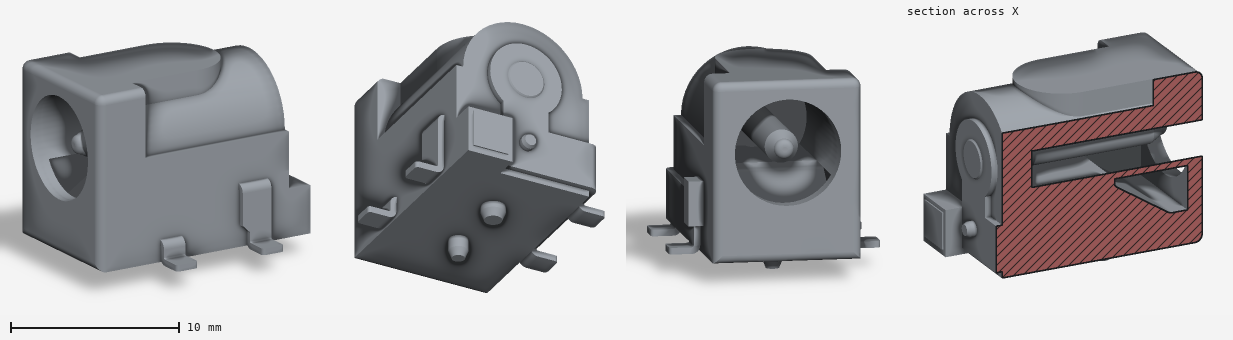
import cadquery as cq
import math

HOUSING_WIDTH = 8.9
HOUSING_HEIGHT = 10.9
HOUSING_LENGTH = 13.25
FRONT_BLOCK_LENGTH = 3.25
EDGE_RADIUS = 0.5
HALF_WIDTH = HOUSING_WIDTH / 2

AXIS_HEIGHT = 6.6
BARREL_RADIUS = 4.0
TONGUE_RADIUS = 2.9
TONGUE_REAR = 10.75

BORE_DIAMETER = 6.4
BORE_DEPTH = 11.25
BORE_RADIUS = BORE_DIAMETER / 2
RING_LENGTH = 1.0
SHELF_HEIGHT = AXIS_HEIGHT - 1.6
POCKET_FLOOR = 2.2
POCKET_REAR = 5.77
RAMP_TOP = 4.55
RAMP_ANGLE = 33
RAMP_FOOT_RADIUS = 0.6
RAMP_TOP_RADIUS = 0.2

PIN_DIAMETER = 2.0
PIN_NECK_DIAMETER = 1.2
PIN_TIP_DIAMETER = 0.35
PIN_TIP_Y = 1.0
PIN_NECK_Y = 1.4
PIN_SHOULDER_Y = 2.2
PIN_BASE_DIAMETER = 3.25
PIN_BASE_HEIGHT = 0.5

SHEET = 0.4
SHEET_GAP = 0.05
BEND_INNER_RADIUS = 0.1
BEND_OUTER_RADIUS = BEND_INNER_RADIUS + SHEET
SHEET_INNER_X = HALF_WIDTH + SHEET_GAP
SHEET_OUTER_X = SHEET_INNER_X + SHEET
LEAD_REACH = 6.35
LEAD_WIDTH = 1.5
LEAD_BOTTOM = -0.1
LEAD_CORNER_RADIUS = 0.2
FRONT_LEAD_Y = 5.0
REAR_LEAD_Y = 11.0

STRAP_BOTTOM = 0.4
STRAP_TOP = 3.4
STRAP_FRONT = 4.15
REAR_PLATE_Y = HOUSING_LENGTH + SHEET
REAR_DISC_RADIUS = 2.4
REAR_STEM_WIDTH = 3.0

SHORT_TAB_TOP = 1.4
TALL_TAB_TOP = 3.95
TALL_TAB_BOTTOM = 1.4
TALL_TAB_NOTCH_CHAMFER = 0.45
TALL_TAB_FRONT = 9.75
LEG_TOP = SHORT_TAB_TOP / 2

SIDE_BLOCK_WIDTH = 0.9
SIDE_BLOCK_FRONT = 3.5
SIDE_BLOCK_LENGTH = 1.5
SIDE_BLOCK_BOTTOM = 1.7
SIDE_BLOCK_HEIGHT = 2.7

RIVET_DIAMETER = 2.45
RIVET_HEIGHT = 0.1
RIVET_FLANK_ANGLE = 45
STUD_DIAMETER = 0.95
STUD_CENTER_Z = 2.18
STUD_END_Y = 14.25
STUD_TIP_LENGTH = 0.25
STUD_TIP_ANGLE = 25
REAR_BLOCK_WIDTH = 2.95
REAR_BLOCK_HEIGHT = 3.0
REAR_BLOCK_END_Y = 14.75
REAR_PAD_SIZE = 2.35
REAR_PAD_HEIGHT = 0.1
REAR_PAD_BOTTOM = 0.4

FRONT_PEG_Y = 5.1
FRONT_PEG_DIAMETER = 1.2
FRONT_PEG_TIP_DIAMETER = 0.8
FRONT_PEG_TAPER_START = 0.75
FRONT_PEG_LENGTH = 1.25
REAR_PEG_Y = 9.5
REAR_PEG_DIAMETER = 1.5
REAR_PEG_TIP_DIAMETER = 1.1
REAR_PEG_TAPER_START = 0.4
REAR_PEG_LENGTH = 0.9


def box(x0, x1, y0, y1, z0, z1):
    """Box between two opposite corners."""
    return cq.Workplane("XY").box(x1 - x0, y1 - y0, z1 - z0, centered=False).translate((x0, y0, z0))


def cylinder_y(diameter, y0, y1, z=AXIS_HEIGHT, taper=0):
    """Round bar along Y from y0 to y1 at X = 0, narrowing by the taper angle in degrees."""
    plane = cq.Plane(origin=(0, y0, z), xDir=(1, 0, 0), normal=(0, 1, 0))
    return cq.Workplane(plane).circle(diameter / 2).extrude(y1 - y0, taper=taper)


def housing():
    """Front block with rounded edges, half-round barrel and the raised tongue on top of it."""
    block = box(-HALF_WIDTH, HALF_WIDTH, 0, FRONT_BLOCK_LENGTH, 0, HOUSING_HEIGHT)
    block = block.edges("(|Y and >Z) or (<Y)").fillet(EDGE_RADIUS)
    base = box(-HALF_WIDTH, HALF_WIDTH, FRONT_BLOCK_LENGTH, HOUSING_LENGTH, 0, AXIS_HEIGHT)
    barrel = cylinder_y(2 * BARREL_RADIUS, FRONT_BLOCK_LENGTH, HOUSING_LENGTH)
    arc_start = TONGUE_REAR - TONGUE_RADIUS
    tongue = (
        cq.Workplane("XY", origin=(0, 0, AXIS_HEIGHT))
        .moveTo(-TONGUE_RADIUS, FRONT_BLOCK_LENGTH)
        .lineTo(TONGUE_RADIUS, FRONT_BLOCK_LENGTH)
        .lineTo(TONGUE_RADIUS, arc_start)
        .threePointArc((0, TONGUE_REAR), (-TONGUE_RADIUS, arc_start))
        .close()
        .extrude(HOUSING_HEIGHT - AXIS_HEIGHT)
    )
    return block.union(base).union(barrel).union(tongue)


def socket():
    """Space removed for the plug: a round mouth, a flat-bottomed bore and a ramped pocket."""
    mouth = cylinder_y(BORE_DIAMETER, 0, RING_LENGTH)
    bore = cylinder_y(BORE_DIAMETER, RING_LENGTH, BORE_DEPTH).intersect(
        box(-BORE_RADIUS, BORE_RADIUS, RING_LENGTH, BORE_DEPTH, SHELF_HEIGHT, HOUSING_HEIGHT)
    )
    ramp_rise = RAMP_TOP - POCKET_FLOOR
    ramp_front = POCKET_REAR - ramp_rise / math.tan(math.radians(RAMP_ANGLE))
    pocket = (
        cq.Workplane("YZ", origin=(-BORE_RADIUS, 0, 0))
        .moveTo(RING_LENGTH, POCKET_FLOOR)
        .lineTo(ramp_front, POCKET_FLOOR)
        .lineTo(POCKET_REAR, RAMP_TOP)
        .lineTo(POCKET_REAR, SHELF_HEIGHT)
        .lineTo(RING_LENGTH, SHELF_HEIGHT)
        .close()
        .extrude(BORE_DIAMETER)
    )
    foot_edge = cq.selectors.NearestToPointSelector((0, ramp_front, POCKET_FLOOR))
    top_edge = cq.selectors.NearestToPointSelector((0, POCKET_REAR, RAMP_TOP))
    pocket = pocket.edges("|X").edges(foot_edge).fillet(RAMP_FOOT_RADIUS)
    pocket = pocket.edges("|X").edges(top_edge).fillet(RAMP_TOP_RADIUS)
    return mouth.union(bore).union(pocket)


def center_pin():
    """Contact pin with a domed tip and a conical shoulder, standing on a round base."""
    neck_radius = PIN_NECK_DIAMETER / 2
    tip_radius = PIN_TIP_DIAMETER / 2
    dome_mid = (
        tip_radius + (neck_radius - tip_radius) * math.sin(math.pi / 4),
        PIN_NECK_Y - (PIN_NECK_Y - PIN_TIP_Y) * math.sin(math.pi / 4),
    )
    base_front = BORE_DEPTH - PIN_BASE_HEIGHT
    return (
        cq.Workplane("XY", origin=(0, 0, AXIS_HEIGHT))
        .moveTo(0, PIN_TIP_Y)
        .lineTo(tip_radius, PIN_TIP_Y)
        .threePointArc(dome_mid, (neck_radius, PIN_NECK_Y))
        .lineTo(PIN_DIAMETER / 2, PIN_SHOULDER_Y)
        .lineTo(PIN_DIAMETER / 2, base_front)
        .lineTo(PIN_BASE_DIAMETER / 2, base_front)
        .lineTo(PIN_BASE_DIAMETER / 2, BORE_DEPTH)
        .lineTo(0, BORE_DEPTH)
        .close()
        .revolve(360, (0, 0, 0), (0, 1, 0))
    )


def lead(side, y_center, leg_top=LEG_TOP):
    """L-shaped lead: an upright leg beside the housing bent into a flat outward foot."""
    half_lead = LEAD_WIDTH / 2
    foot_top = LEAD_BOTTOM + SHEET
    leg = box(SHEET_INNER_X, SHEET_OUTER_X, -half_lead, half_lead, LEAD_BOTTOM, leg_top)
    foot = box(SHEET_INNER_X, LEAD_REACH, -half_lead, half_lead, LEAD_BOTTOM, foot_top)
    foot = foot.edges("|Z and >X").fillet(LEAD_CORNER_RADIUS)
    bent = leg.union(foot).edges("|Y and <X and <Z").fillet(BEND_OUTER_RADIUS)
    inner_corner = cq.selectors.NearestToPointSelector((SHEET_OUTER_X, 0, foot_top))
    bent = bent.edges("|Y").edges(inner_corner).fillet(BEND_INNER_RADIUS)
    if side < 0:
        bent = bent.mirror("YZ")
    return bent.translate((0, y_center, 0))


def folded_tab(y0, y1, bottom, top):
    """Upright tab on the +X side whose top folds into the housing wall."""
    tab = box(HALF_WIDTH - SHEET, SHEET_OUTER_X, y0, y1, top - SHEET, top)
    tab = tab.union(box(SHEET_INNER_X, SHEET_OUTER_X, y0, y1, bottom, top))
    return tab.edges("|Y and >X and >Z").fillet(BEND_OUTER_RADIUS)


def right_terminals():
    """Two leads on the +X side: a short front one and a rear one hung from a taller, wider tab."""
    half_lead = LEAD_WIDTH / 2
    rear_edge = REAR_LEAD_Y + half_lead
    short_tab = folded_tab(FRONT_LEAD_Y - half_lead, FRONT_LEAD_Y + half_lead, LEG_TOP, SHORT_TAB_TOP)
    tall_tab = folded_tab(TALL_TAB_FRONT, rear_edge, TALL_TAB_BOTTOM, TALL_TAB_TOP)
    front = lead(1, FRONT_LEAD_Y).union(short_tab)
    rear = lead(1, REAR_LEAD_Y, TALL_TAB_BOTTOM).union(tall_tab)
    notch_corner = (SHEET_OUTER_X - SHEET / 2, REAR_LEAD_Y - half_lead, TALL_TAB_BOTTOM)
    notch_edge = cq.selectors.NearestToPointSelector(notch_corner)
    rear = rear.edges("|X").edges(notch_edge).chamfer(TALL_TAB_NOTCH_CHAMFER)
    return front.union(rear)


def strap():
    """Strap along the -X side, bent around the rear corner, with its two leads and rear disc."""
    stem_half = REAR_STEM_WIDTH / 2
    outline = box(-SHEET_OUTER_X, stem_half, STRAP_FRONT, REAR_PLATE_Y, STRAP_BOTTOM, STRAP_TOP)
    outline = outline.edges("|Z and <X and >Y").fillet(BEND_OUTER_RADIUS)
    inside = box(-SHEET_INNER_X, stem_half, STRAP_FRONT, HOUSING_LENGTH, STRAP_BOTTOM, STRAP_TOP)
    inside = inside.edges("|Z and <X and >Y").fillet(BEND_INNER_RADIUS)
    stem = box(-stem_half, stem_half, HOUSING_LENGTH, REAR_PLATE_Y, STRAP_BOTTOM, AXIS_HEIGHT)
    disc = cylinder_y(2 * REAR_DISC_RADIUS, HOUSING_LENGTH, REAR_PLATE_Y)
    metal = outline.cut(inside).union(stem).union(disc)
    for y_center in (FRONT_LEAD_Y, REAR_LEAD_Y):
        metal = metal.union(lead(-1, y_center))
    return metal


def side_block():
    """Small block on the -X wall that overlaps the front end of the strap."""
    return box(
        -HALF_WIDTH - SIDE_BLOCK_WIDTH,
        -HALF_WIDTH,
        SIDE_BLOCK_FRONT,
        SIDE_BLOCK_FRONT + SIDE_BLOCK_LENGTH,
        SIDE_BLOCK_BOTTOM,
        SIDE_BLOCK_BOTTOM + SIDE_BLOCK_HEIGHT,
    )


def rear_details():
    """Rivet head, taper-ended stud and the raised block at the rear right corner."""
    rivet_end = REAR_PLATE_Y + RIVET_HEIGHT
    rivet = cylinder_y(RIVET_DIAMETER, REAR_PLATE_Y, rivet_end, taper=RIVET_FLANK_ANGLE)
    shank_end = STUD_END_Y - STUD_TIP_LENGTH
    shank = cylinder_y(STUD_DIAMETER, HOUSING_LENGTH, shank_end, STUD_CENTER_Z)
    tip = cylinder_y(STUD_DIAMETER, shank_end, STUD_END_Y, STUD_CENTER_Z, STUD_TIP_ANGLE)
    stud = shank.union(tip)
    block_left = HALF_WIDTH - REAR_BLOCK_WIDTH
    block = box(block_left, HALF_WIDTH, HOUSING_LENGTH, REAR_BLOCK_END_Y, 0, REAR_BLOCK_HEIGHT)
    pad_left = block_left + (REAR_BLOCK_WIDTH - REAR_PAD_SIZE) / 2
    pad = box(
        pad_left,
        pad_left + REAR_PAD_SIZE,
        REAR_BLOCK_END_Y,
        REAR_BLOCK_END_Y + REAR_PAD_HEIGHT,
        REAR_PAD_BOTTOM,
        REAR_PAD_BOTTOM + REAR_PAD_SIZE,
    )
    return rivet.union(stud).union(block).union(pad)


def locating_peg(y, diameter, tip_diameter, taper_start, length):
    """Peg under the housing with a straight shank and a conical tip."""
    return (
        cq.Workplane("XZ", origin=(0, y, 0))
        .moveTo(0, 0)
        .lineTo(diameter / 2, 0)
        .lineTo(diameter / 2, -taper_start)
        .lineTo(tip_diameter / 2, -length)
        .lineTo(0, -length)
        .close()
        .revolve(360, (0, 0, 0), (0, 1, 0))
    )


front_peg = locating_peg(
    FRONT_PEG_Y, FRONT_PEG_DIAMETER, FRONT_PEG_TIP_DIAMETER, FRONT_PEG_TAPER_START, FRONT_PEG_LENGTH
)
rear_peg = locating_peg(
    REAR_PEG_Y, REAR_PEG_DIAMETER, REAR_PEG_TIP_DIAMETER, REAR_PEG_TAPER_START, REAR_PEG_LENGTH
)

result = housing().cut(socket()).union(center_pin())
for feature in (right_terminals(), strap(), side_block(), rear_details(), front_peg, rear_peg):
    result = result.union(feature)